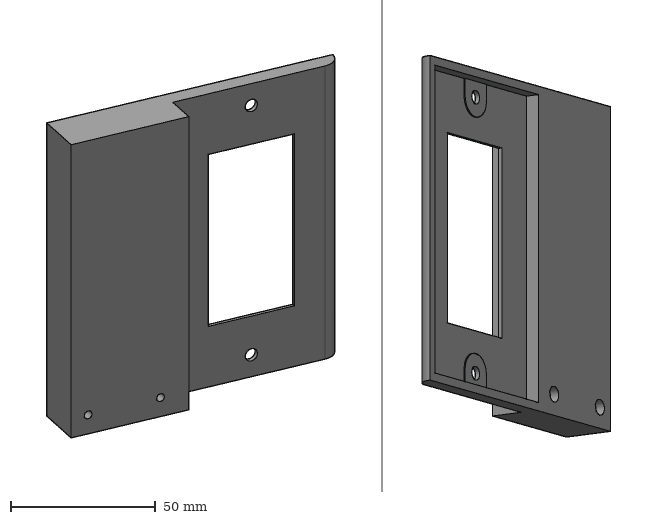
import cadquery as cq

height = 114.3
width = 111.1
block_depth = 18.4
block_width = 45.7
plate_thickness = 6.4
edge_radius = 6.3

rim = 3.0
pocket_end = 44.3
pocket_depth = 5.0
pocket_center = (pocket_end + width - rim) / 2

window_width = 33.4
window_height = 67.0

pad_width = 13.0
pad_rise = 0.5
pad_arc_offset = 9.0
screw_offset = 8.6
screw_diameter = 4.7

block_hole_positions = (6.6, 34.7)
block_hole_height = 7.4
block_hole_diameter = 3.0
counterbore_diameter = 5.5
counterbore_depth = 3.4


def box_between(low, high):
    """Box spanning two opposite corners."""
    sizes = [b - a for a, b in zip(low, high)]
    return cq.Workplane("XY").box(*sizes, centered=False).translate(low)


def cylinder_along_x(y, z, diameter, start, length):
    """Cylinder pointing along +X from the given start."""
    return cq.Workplane("YZ", origin=(start, y, z)).circle(diameter / 2).extrude(length)


def make_body():
    """L-shaped plate and block with the free edge rounded."""
    plate = box_between((0, 0, 0), (plate_thickness, width, height))
    plate = plate.edges(">X and >Y").fillet(edge_radius)
    return plate.union(box_between((0, 0, 0), (block_depth, block_width, height)))


def make_lower_pad():
    """Round-ended pad rising from the pocket floor at its lower end."""
    start = pocket_depth - pad_rise
    half = pad_width / 2
    straight = box_between(
        (start, pocket_center - half, rim),
        (pocket_depth, pocket_center + half, pad_arc_offset),
    )
    return straight.union(cylinder_along_x(pocket_center, pad_arc_offset, pad_width, start, pad_rise))


result = make_body()
result = result.cut(box_between((0, pocket_end, rim), (pocket_depth, width - rim, height - rim)))

lower_pad = make_lower_pad()
upper_pad = lower_pad.mirror("XY", (0, 0, height / 2))
result = result.union(lower_pad).union(upper_pad)

result = result.cut(
    box_between(
        (0, pocket_center - window_width / 2, (height - window_height) / 2),
        (plate_thickness, pocket_center + window_width / 2, (height + window_height) / 2),
    )
)

for z in (screw_offset, height - screw_offset):
    result = result.cut(cylinder_along_x(pocket_center, z, screw_diameter, 0, plate_thickness))

for y in block_hole_positions:
    result = result.cut(cylinder_along_x(y, block_hole_height, block_hole_diameter, 0, block_depth))
    result = result.cut(cylinder_along_x(y, block_hole_height, counterbore_diameter, 0, counterbore_depth))